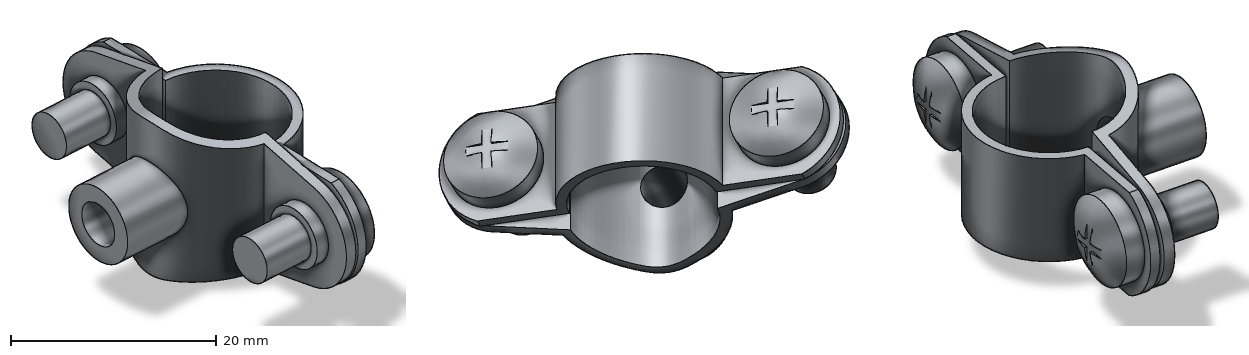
import cadquery as cq
import math


bore_radius = 7.45
back_sheet = 1.05
front_sheet = 1.25
half_gap = 0.2
strap_half_length = 20.5
end_radius = 6.0
front_height = 18.0
middle_radius = front_height / 2
back_half_length = 20.38
back_corner_x = 16.5

boss_diameter = 8.53
boss_bore = 4.75
boss_tip_y = -15.45

collar_diameter = 6.75
collar_height = 1.48

screw_x = strap_half_length - end_radius
shank_diameter = 5.0
shank_end_y = -8.7
head_diameter = 9.55
head_side_height = 2.1
dome_height = 1.5
slot_width = 1.0
slot_depth = 0.3

strap_half_height = end_radius
back_outer_radius = bore_radius + back_sheet
front_outer_radius = bore_radius + front_sheet
back_face_y = half_gap + back_sheet
front_face_y = -half_gap - front_sheet


def cylinder_along_y(diameter, start_y, end_y, x=0.0):
    """Cylinder parallel to Y between two Y positions."""
    return (
        cq.Workplane("XZ", origin=(x, start_y, 0))
        .circle(diameter / 2)
        .extrude(start_y - end_y)
    )


def strap_section(outer_radius, sheet, side):
    """Half ring with two flanges, extruded along Z; side is +1 for the +Y half, -1 for the -Y half."""
    inner_y = half_gap
    outer_y = half_gap + sheet
    inner_x = math.sqrt(bore_radius**2 - inner_y**2)
    outer_x = math.sqrt(outer_radius**2 - outer_y**2)
    return (
        cq.Workplane("XY")
        .moveTo(-strap_half_length, side * inner_y)
        .lineTo(-inner_x, side * inner_y)
        .threePointArc((0, side * bore_radius), (inner_x, side * inner_y))
        .lineTo(strap_half_length, side * inner_y)
        .lineTo(strap_half_length, side * outer_y)
        .lineTo(outer_x, side * outer_y)
        .threePointArc((0, side * outer_radius), (-outer_x, side * outer_y))
        .lineTo(-strap_half_length, side * outer_y)
        .close()
        .extrude(middle_radius, both=True)
    )


def through_y(outline):
    """Extrude an XZ outline through the full depth of the clamp."""
    return outline.extrude(front_outer_radius, both=True)


def back_outline():
    """Constant height strap with a shallow arc at each end."""
    return (
        cq.Workplane("XZ")
        .moveTo(-back_corner_x, strap_half_height)
        .lineTo(back_corner_x, strap_half_height)
        .threePointArc((back_half_length, 0), (back_corner_x, -strap_half_height))
        .lineTo(-back_corner_x, -strap_half_height)
        .threePointArc((-back_half_length, 0), (-back_corner_x, strap_half_height))
        .close()
    )


def front_outline():
    """Middle arc and two end arcs joined by their common tangents."""
    lean = math.asin((middle_radius - end_radius) / screw_x)
    middle_x = middle_radius * math.sin(lean)
    middle_z = middle_radius * math.cos(lean)
    end_x = screw_x + end_radius * math.sin(lean)
    end_z = end_radius * math.cos(lean)
    return (
        cq.Workplane("XZ")
        .moveTo(-middle_x, middle_z)
        .threePointArc((0, middle_radius), (middle_x, middle_z))
        .lineTo(end_x, end_z)
        .threePointArc((strap_half_length, 0), (end_x, -end_z))
        .lineTo(middle_x, -middle_z)
        .threePointArc((0, -middle_radius), (-middle_x, -middle_z))
        .lineTo(-end_x, -end_z)
        .threePointArc((-strap_half_length, 0), (-end_x, end_z))
        .close()
    )


def make_back_strap():
    """Plain half strap under the screw heads."""
    strap = strap_section(back_outer_radius, back_sheet, 1).intersect(through_y(back_outline()))
    for x in (-screw_x, screw_x):
        strap = strap.cut(cylinder_along_y(shank_diameter, back_face_y, half_gap, x))
    return strap


def make_front_strap():
    """Half strap with a bored central boss and a collar around each screw hole."""
    strap = strap_section(front_outer_radius, front_sheet, -1).intersect(through_y(front_outline()))

    strap = strap.union(cylinder_along_y(boss_diameter, -bore_radius, boss_tip_y))
    strap = strap.cut(cylinder_along_y(boss_bore, -half_gap, boss_tip_y))

    collar_end_y = front_face_y - collar_height
    for x in (-screw_x, screw_x):
        strap = strap.union(cylinder_along_y(collar_diameter, front_face_y, collar_end_y, x))
        strap = strap.cut(cylinder_along_y(shank_diameter, -half_gap, collar_end_y, x))
    return strap


def make_screw(x):
    """Domed screw with a cross slot, seated on the back strap."""
    head_radius = head_diameter / 2
    shank_radius = shank_diameter / 2
    rim_y = back_face_y + head_side_height
    top_y = rim_y + dome_height
    dome_radius = (head_radius**2 + dome_height**2) / (2 * dome_height)
    dome_center_y = top_y - dome_radius
    dome_middle_r = head_radius / 2
    dome_middle_y = dome_center_y + math.sqrt(dome_radius**2 - dome_middle_r**2)
    screw = (
        cq.Workplane("XY")
        .moveTo(0, shank_end_y)
        .lineTo(shank_radius, shank_end_y)
        .lineTo(shank_radius, back_face_y)
        .lineTo(head_radius, back_face_y)
        .lineTo(head_radius, rim_y)
        .threePointArc((dome_middle_r, dome_middle_y), (0, top_y))
        .close()
        .revolve(360, (0, 0, 0), (0, 1, 0))
    )
    slot = cq.Workplane("XY").box(slot_width, 2 * slot_depth, head_diameter)
    cross_slot = slot.union(slot.rotate((0, 0, 0), (0, 1, 0), 90))
    return screw.cut(cross_slot.translate((0, top_y, 0))).translate((x, 0, 0))


back_strap = make_back_strap()
front_strap = make_front_strap()
screws = [make_screw(x) for x in (-screw_x, screw_x)]

result = cq.Compound.makeCompound(
    [back_strap.val(), front_strap.val(), *[screw.val() for screw in screws]]
)